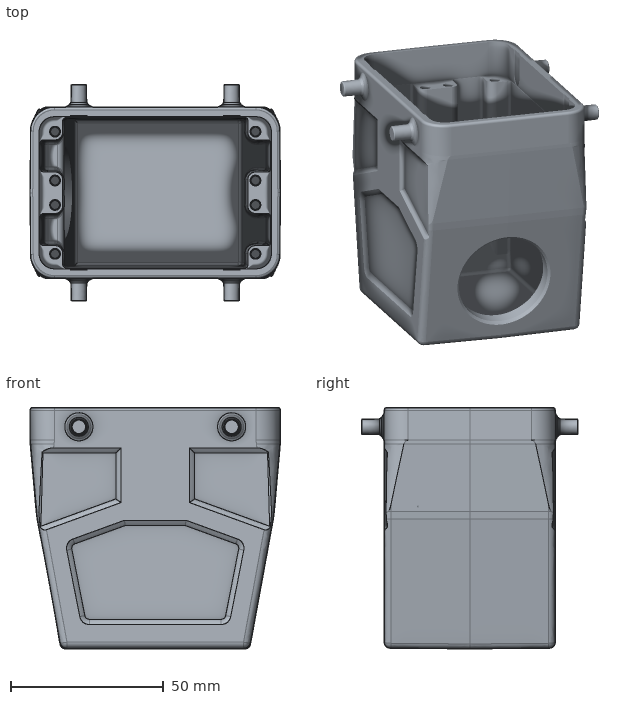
import cadquery as cq
import math

HEIGHT = 79.0
WIDTH_Y = 56.0
HALF_Y = WIDTH_Y / 2
HALF_X_TOP = 41.0
HALF_X_BOTTOM = 30.9
DRAFT = math.tan(math.radians(0.5))
CROWN = HALF_Y * DRAFT

COLLAR_Z = 67.7
RIDGE_Z = 43.75
HALF_X_RIDGE = 38.9
COLLAR_BAND = 0.6
RIDGE_BAND = 1.25
CORNER_R = 7.8
EDGE_R = 2.2
CORNER_STEP = 0.11
BASE_FILLET = 2.0
RIM_FILLET = 0.9

SHOULDER_Z = 67.5
OPENING_HALF_X = 38.0
OPENING_HALF_Y = 24.9
OPENING_CORNER_R = 5.0
WALL = 2.7
LEDGE = 0.3
FLOOR_Z = 3.0
FLOOR_HALF_X = 28.2
FLOOR_HALF_Y = 23.9
FLOOR_FILLET = 1.1
CAVITY_CORNER_R = 4.0

POST_FACE_X = 30.3
POST_DRAFT_DEG = 1.0
MIDDLE_POST_HALF_Y = 6.8
CORNER_POST_Y = 17.3
POST_CORNER_R = 2.5
ROOT_R = 1.2
FAR_ROOT_R = 0.9
SCREW_X = 32.8
SCREW_YS = (4.0, 20.0)
SCREW_HOLE_D = 3.5
SCREW_HOLE_DEPTH = 12.0
SCREW_HOLE_DRAFT_DEG = 1.4

ENTRY_Z = 21.3
ENTRY_D = 30.6
ENTRY_CHAMFER = 0.9
ENTRY_REACH = 12.0
ENTRY_WALL_TOP_Z = 44.5
ENTRY_WALL_TOP_X = 30.0
ENTRY_WALL_KNEE_X = 29.6
ENTRY_WALL_FLOOR_X = 26.3
ENTRY_WALL_ROUND = 2.0

PIN_X = 25.0
PIN_Z = 72.7
PIN_TIP_Y = 35.5
PIN_TIP_R = 2.5
PIN_ROOT_R = 2.6
PIN_ROOT_LENGTH = 1.6
PIN_CHAMFER = 0.3
PIN_EMBED = 1.0
FLARE_RINGS = ((4.6, 0.0), (3.9, 0.35), (3.1, 0.85))
GROOVE_WIDTH = 5.4
GROOVE_DEPTH = 0.3
GROOVE_BOTTOM_Z = SHOULDER_Z

PANEL_DEPTH = 1.15
PANEL_BEVEL = 1.7
PANEL_TILT = math.tan(math.radians(20))
UPPER_PANEL_TOP_Z = 65.8
UPPER_PANEL_INNER_X = 11.2
UPPER_PANEL_CORNER_Z = 47.9
UPPER_PANEL_HIGH_X = 38.4
UPPER_PANEL_LOW_X = 39.2
LOWER_PANEL_TOP_Z = 42.1
LOWER_PANEL_BOTTOM_Z = 8.0
LOWER_PANEL_TOP_HALF_X = 10.1
LOWER_PANEL_SHOULDER_X = 29.5
LOWER_PANEL_BOTTOM_HALF_X = 24.2
LOWER_PANEL_CORNER_R = 3.2

WALL_SLOPE = (HALF_X_RIDGE - HALF_X_BOTTOM) / RIDGE_Z
UPPER_SLOPE = (HALF_X_TOP - HALF_X_RIDGE) / (COLLAR_Z - RIDGE_Z)
PICK = 1.0


def lower_half_x(z):
    """Half length of the outside at height z, below the ridge."""
    return HALF_X_BOTTOM + WALL_SLOPE * z


def upper_half_x(z):
    """Half length of the outside at height z, between ridge and collar."""
    return HALF_X_RIDGE + UPPER_SLOPE * (z - RIDGE_Z)


def crowned_section(half_x, radius):
    """Rounded rectangle whose end faces bulge to half_x in the middle."""
    end = half_x - CROWN
    outline = [
        (half_x, 0), (end, HALF_Y), (-end, HALF_Y),
        (-half_x, 0), (-end, -HALF_Y), (end, -HALF_Y), (half_x, 0),
    ]
    return cq.Sketch().polygon(outline).vertices(">Y or <Y").fillet(radius)


def rounded_rectangle(half_x, half_y, radius):
    return cq.Sketch().rect(2 * half_x, 2 * half_y).vertices().fillet(radius)


def ruled_loft(sections):
    """Ruled solid through (height, sketch) pairs."""
    faces = [sketch.moved(cq.Location(cq.Vector(0, 0, z))) for z, sketch in sections]
    return cq.Workplane().placeSketch(*faces).loft(ruled=True)


def make_outside():
    """Solid hood: leaning end faces, tapering corners, crowned base, rounded rim and base."""
    ridge_low = RIDGE_Z - RIDGE_BAND
    ridge_high = RIDGE_Z + RIDGE_BAND
    collar_low = COLLAR_Z - COLLAR_BAND
    collar_high = COLLAR_Z + COLLAR_BAND
    shell = ruled_loft([
        (0, crowned_section(lower_half_x(0), EDGE_R)),
        (ridge_low, crowned_section(lower_half_x(ridge_low), EDGE_R)),
        (ridge_high, crowned_section(upper_half_x(ridge_high), EDGE_R)),
        (collar_low, crowned_section(upper_half_x(collar_low), EDGE_R)),
        (collar_high, crowned_section(HALF_X_TOP, EDGE_R)),
        (HEIGHT, crowned_section(HALF_X_TOP, EDGE_R)),
    ])
    column = ruled_loft([
        (0, crowned_section(lower_half_x(0) + CORNER_STEP, EDGE_R)),
        (RIDGE_Z, crowned_section(HALF_X_RIDGE + CORNER_STEP, EDGE_R)),
        (collar_low, crowned_section(upper_half_x(collar_low) + CORNER_STEP, CORNER_R)),
        (collar_high, crowned_section(HALF_X_TOP, CORNER_R)),
        (HEIGHT, crowned_section(HALF_X_TOP, CORNER_R)),
    ])
    crowned_base = (
        cq.Workplane("YZ")
        .polyline([(0, 0), (HALF_Y, CROWN), (HALF_Y, HEIGHT), (-HALF_Y, HEIGHT), (-HALF_Y, CROWN)])
        .close()
        .extrude(HALF_X_TOP, both=True)
    )
    shell = shell.intersect(column).intersect(crowned_base)
    shell = shell.faces(">Z").edges().fillet(RIM_FILLET)
    near_base = cq.selectors.BoxSelector((-HALF_X_TOP, -WIDTH_Y, -PICK), (HALF_X_TOP, WIDTH_Y, 2 * CROWN))
    base_crease = cq.selectors.BoxSelector((-PICK, -PICK, -PICK), (PICK, PICK, PICK))
    return shell.edges(near_base - base_crease).fillet(BASE_FILLET)


def make_opening():
    """Straight opening above the shoulder, with a shallow groove behind each pin."""
    opening = (
        cq.Workplane(origin=(0, 0, SHOULDER_Z))
        .placeSketch(rounded_rectangle(OPENING_HALF_X, OPENING_HALF_Y, OPENING_CORNER_R))
        .extrude(HEIGHT - SHOULDER_Z)
    )
    groove_r = GROOVE_WIDTH / 2
    for side_x in (-1, 1):
        groove = (
            cq.Workplane("XZ", origin=(side_x * PIN_X, 0, 0))
            .moveTo(-groove_r, HEIGHT)
            .lineTo(-groove_r, GROOVE_BOTTOM_Z + groove_r)
            .threePointArc((0, GROOVE_BOTTOM_Z), (groove_r, GROOVE_BOTTOM_Z + groove_r))
            .lineTo(groove_r, HEIGHT)
            .close()
            .extrude(OPENING_HALF_Y + GROOVE_DEPTH, both=True)
        )
        opening = opening.union(groove)
    return opening


def make_post(half_x_outer, y_low, y_high, rounded):
    """One +X post, widening downward, standing from the floor to the shoulder."""
    section = (
        cq.Sketch()
        .push([((POST_FACE_X + half_x_outer) / 2, (y_low + y_high) / 2)])
        .rect(half_x_outer - POST_FACE_X, y_high - y_low)
        .reset()
        .vertices(rounded)
        .fillet(POST_CORNER_R)
    )
    return (
        cq.Workplane(origin=(0, 0, SHOULDER_Z))
        .placeSketch(section)
        .extrude(-(SHOULDER_Z - FLOOR_Z), taper=-POST_DRAFT_DEG)
    )


def make_posts():
    """A middle post and two corner posts at each end."""
    far_x = HALF_X_TOP + 2
    middle = make_post(far_x, -MIDDLE_POST_HALF_Y, MIDDLE_POST_HALF_Y, "<X")
    corner = make_post(far_x, CORNER_POST_Y, HALF_Y, "<X and <Y")
    one_end = middle.union(corner).union(corner.mirror("XZ"))
    return one_end.union(one_end.mirror("YZ"))


def make_entry_wall():
    """Thick lower part of the -X wall that carries the cable entry."""
    far_x = HALF_X_TOP
    knee_z = FLOOR_Z + (ENTRY_WALL_KNEE_X - ENTRY_WALL_FLOOR_X) / WALL_SLOPE
    return (
        cq.Workplane("XZ")
        .polyline([
            (-far_x, 0), (-ENTRY_WALL_FLOOR_X, 0), (-ENTRY_WALL_FLOOR_X, FLOOR_Z),
            (-ENTRY_WALL_KNEE_X, knee_z), (-ENTRY_WALL_TOP_X, ENTRY_WALL_TOP_Z), (-far_x, ENTRY_WALL_TOP_Z),
        ])
        .close()
        .extrude(HALF_Y, both=True)
        .edges("|Y").edges(">Z").edges(">X")
        .fillet(ENTRY_WALL_ROUND)
    )


def round_post_roots(cavity):
    """Round the cavity where the posts and the entry wall meet the outer walls."""
    wall_x = OPENING_HALF_X
    gap_y = CORNER_POST_Y + PICK
    below_shoulder = SHOULDER_Z - PICK
    far_gaps = cq.selectors.BoxSelector((POST_FACE_X, -gap_y, FLOOR_Z), (wall_x, gap_y, below_shoulder))
    cavity = cavity.edges(far_gaps).edges("%BSPLINE").fillet(FAR_ROOT_R)

    behind_rounding = POST_FACE_X + POST_CORNER_R + PICK / 2
    entry_gaps = cq.selectors.BoxSelector(
        (-wall_x, -gap_y, ENTRY_WALL_TOP_Z - PICK / 2), (-behind_rounding, gap_y, below_shoulder))
    cavity = cavity.edges(entry_gaps).fillet(ROOT_R)

    post_face = cq.selectors.BoxSelector(
        (-POST_FACE_X, -HALF_Y, RIDGE_Z / 2), (-ENTRY_WALL_KNEE_X, HALF_Y, below_shoulder))
    off_long_walls = cq.selectors.BoxSelector(
        (-HALF_X_TOP, -FLOOR_HALF_Y, 0), (HALF_X_TOP, FLOOR_HALF_Y, HEIGHT))
    return cavity.edges(post_face - off_long_walls).fillet(ROOT_R)


def make_cavity():
    """Tapering space below the shoulder, less the posts and the entry wall."""
    shoulder_half_x = OPENING_HALF_X - LEDGE
    shoulder_half_y = OPENING_HALF_Y - LEDGE
    ridge_half_x = HALF_X_RIDGE - WALL
    ridge_part = (RIDGE_Z - FLOOR_Z) / (SHOULDER_Z - FLOOR_Z)
    ridge_half_y = FLOOR_HALF_Y + (shoulder_half_y - FLOOR_HALF_Y) * ridge_part
    cavity = ruled_loft([
        (FLOOR_Z, rounded_rectangle(FLOOR_HALF_X, FLOOR_HALF_Y, FLOOR_FILLET)),
        (RIDGE_Z, rounded_rectangle(ridge_half_x, ridge_half_y, FLOOR_FILLET)),
        (SHOULDER_Z, rounded_rectangle(shoulder_half_x, shoulder_half_y, CAVITY_CORNER_R)),
    ])
    cavity = cavity.cut(make_entry_wall())
    cavity = cavity.faces("<Z").edges().fillet(FLOOR_FILLET)
    return round_post_roots(cavity.cut(make_posts()))


def make_screw_holes():
    """Slightly tapered blind holes in the post tops."""
    spots = [(sx * SCREW_X, sy * y) for sx in (-1, 1) for sy in (-1, 1) for y in SCREW_YS]
    return (
        cq.Workplane(origin=(0, 0, SHOULDER_Z))
        .pushPoints(spots)
        .circle(SCREW_HOLE_D / 2)
        .extrude(-SCREW_HOLE_DEPTH, taper=SCREW_HOLE_DRAFT_DEG)
    )


def make_entry_hole():
    """Chamfered hole square to the leaning -X face."""
    tilt = math.degrees(math.atan(WALL_SLOPE))
    hole_r = ENTRY_D / 2
    rim_r = hole_r + ENTRY_CHAMFER
    return (
        cq.Workplane("XY")
        .polyline([
            (-ENTRY_REACH, 0), (-ENTRY_REACH, rim_r), (0, rim_r),
            (ENTRY_CHAMFER, hole_r), (ENTRY_REACH, hole_r), (ENTRY_REACH, 0),
        ])
        .close()
        .revolve(360, (0, 0), (1, 0))
        .rotate((0, 0, 0), (0, 1, 0), -tilt)
        .translate((-lower_half_x(ENTRY_Z), 0, ENTRY_Z))
    )


def make_pin():
    """Locking pin with a flared foot, on the -Y face at +X."""
    root_y = HALF_Y + PIN_ROOT_LENGTH
    foot_r = FLARE_RINGS[0][0]
    embedded_y = HALF_Y - PIN_EMBED
    flare = [(radius, -HALF_Y - height) for radius, height in FLARE_RINGS]
    return (
        cq.Workplane("XY")
        .polyline([
            (0, -embedded_y), (foot_r, -embedded_y), *flare, (PIN_ROOT_R, -root_y),
            (PIN_TIP_R, -PIN_TIP_Y + PIN_CHAMFER), (PIN_TIP_R - PIN_CHAMFER, -PIN_TIP_Y), (0, -PIN_TIP_Y),
        ])
        .close()
        .revolve(360, (0, 0), (0, 1))
        .translate((PIN_X, 0, PIN_Z))
    )


def panel_cutter(outline, corner_r=0):
    """Bevelled recess in the -Y face, with the outline given in X and Z on that face."""
    sketch = cq.Sketch().polygon(outline + outline[:1])
    if corner_r:
        sketch = sketch.vertices("not(>Y)").fillet(corner_r)
    bevel_deg = math.degrees(math.atan(PANEL_BEVEL / PANEL_DEPTH))
    return (
        cq.Workplane("XZ", origin=(0, -HALF_Y, 0))
        .placeSketch(sketch)
        .extrude(-PANEL_DEPTH, taper=bevel_deg)
    )


def make_panels():
    """The recesses of the -Y face."""
    drop = (UPPER_PANEL_LOW_X - UPPER_PANEL_INNER_X) * PANEL_TILT
    upper = panel_cutter([
        (UPPER_PANEL_INNER_X, UPPER_PANEL_TOP_Z),
        (UPPER_PANEL_INNER_X, UPPER_PANEL_CORNER_Z),
        (UPPER_PANEL_LOW_X, UPPER_PANEL_CORNER_Z - drop),
        (UPPER_PANEL_HIGH_X, UPPER_PANEL_TOP_Z),
    ])
    shoulder_z = LOWER_PANEL_TOP_Z - (LOWER_PANEL_SHOULDER_X - LOWER_PANEL_TOP_HALF_X) * PANEL_TILT
    lower = panel_cutter(
        [
            (LOWER_PANEL_TOP_HALF_X, LOWER_PANEL_TOP_Z),
            (LOWER_PANEL_SHOULDER_X, shoulder_z),
            (LOWER_PANEL_BOTTOM_HALF_X, LOWER_PANEL_BOTTOM_Z),
            (-LOWER_PANEL_BOTTOM_HALF_X, LOWER_PANEL_BOTTOM_Z),
            (-LOWER_PANEL_SHOULDER_X, shoulder_z),
            (-LOWER_PANEL_TOP_HALF_X, LOWER_PANEL_TOP_Z),
        ],
        LOWER_PANEL_CORNER_R,
    )
    return upper.union(upper.mirror("YZ")).union(lower)


def both_sides(shape, plane):
    return shape.union(shape.mirror(plane))


pins = both_sides(both_sides(make_pin(), "YZ"), "XZ")
panels = both_sides(make_panels(), "XZ")

result = make_outside()
result = result.cut(panels)
result = result.union(pins)
result = result.cut(make_opening())
result = result.cut(make_cavity())
result = result.cut(make_entry_hole())
result = result.cut(make_screw_holes())